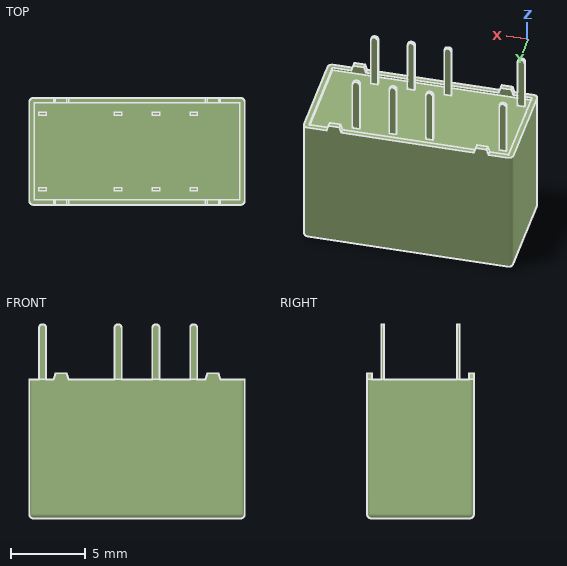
import cadquery as cq

case_length = 14.5
case_width = 7.2
case_height = 9.35
edge_radius = 0.32
rim_width = 0.35
recess_depth = 0.2

standoff_height = 0.42
standoff_base = 1.02
standoff_top = 0.75
standoff_spacing = 10.2

overall_height = 13.05
pin_pitch = 2.54
pin_row_spacing = 2 * pin_pitch
pin_grid_steps = (-2.5, -0.5, 0.5, 1.5)
pin_width = 0.5
pin_thickness = 0.2

floor_height = case_height - recess_depth


def make_case():
    case = cq.Workplane("XY").box(case_length, case_width, case_height, centered=(True, True, False))
    case = case.edges("|Z").fillet(edge_radius)
    case = case.faces("<Z").edges().fillet(edge_radius)
    recess = (
        cq.Workplane("XY")
        .workplane(offset=floor_height)
        .rect(case_length - 2 * rim_width, case_width - 2 * rim_width)
        .extrude(recess_depth)
    )
    return case.cut(recess)


def make_standoff(x, outer_y):
    """Trapezoidal tab reaching back by the rim width from outer_y toward -Y."""
    return (
        cq.Workplane("XZ", origin=(x, outer_y, case_height))
        .polyline([
            (-standoff_base / 2, 0),
            (standoff_base / 2, 0),
            (standoff_top / 2, standoff_height),
            (-standoff_top / 2, standoff_height),
        ])
        .close()
        .extrude(rim_width)
    )


def make_pin(x, y):
    """Flat pin standing on the recessed floor, with a half-round tip."""
    shoulder_height = overall_height - pin_width / 2
    return (
        cq.Workplane("XZ", origin=(x, y, 0))
        .moveTo(-pin_width / 2, floor_height)
        .lineTo(pin_width / 2, floor_height)
        .lineTo(pin_width / 2, shoulder_height)
        .threePointArc((0, overall_height), (-pin_width / 2, shoulder_height))
        .close()
        .extrude(pin_thickness / 2, both=True)
    )


result = make_case()

for x in (-standoff_spacing / 2, standoff_spacing / 2):
    for rim_outer_y in (case_width / 2, -case_width / 2 + rim_width):
        result = result.union(make_standoff(x, rim_outer_y))

for step in pin_grid_steps:
    for y in (-pin_row_spacing / 2, pin_row_spacing / 2):
        result = result.union(make_pin(step * pin_pitch, y))